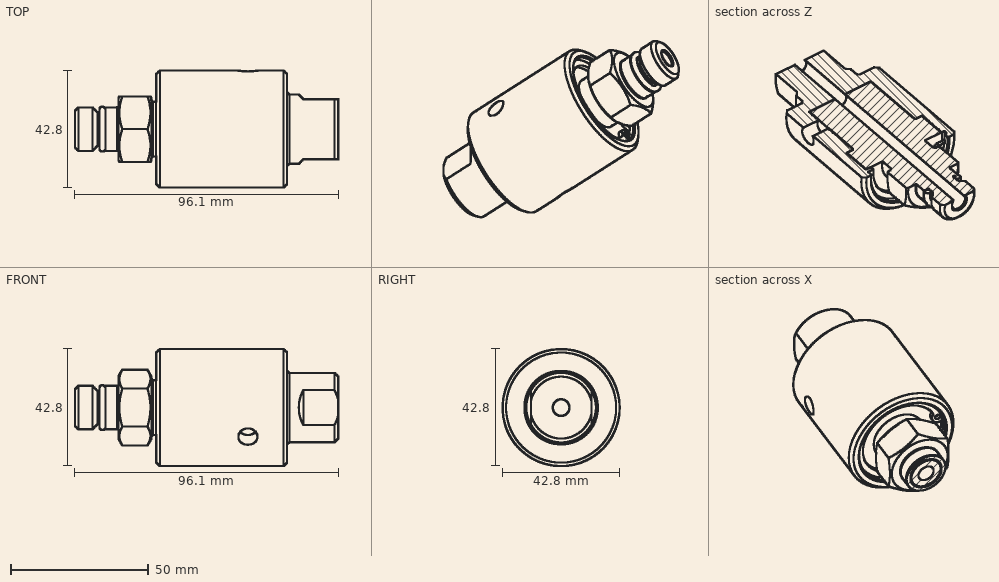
import cadquery as cq
import math

overall_length = 96.12

stem_d = 15.97
stem_chamfer = 1.25
stem_land_end = 6.4
groove_d = 12.12
groove_cone_end = stem_land_end + (stem_d - groove_d) / 2
seal_section_r = 1.1
seal_bedding = 0.02
groove_end = 11.1
seat_d = 16.02
seat_start = 15.4
hex_start = 15.85
hex_end = 27.9
hex_across_flats = 24.0
hex_corner_d = hex_across_flats / math.cos(math.radians(30))
hex_chamfer_d = 0.95 * hex_across_flats
hex_chamfer_angle = 30.0
neck_d = 20.0
neck_root = 0.6
drum_d = 28.8
drum_end = 72.0
bore_d = 6.0
bore_mouth_d = 6.92

housing_d = 42.8
housing_start = 29.65
housing_end = 77.45
housing_chamfer = 1.3
recess_d = 35.05
recess_chamfer = 0.5
ring_start = housing_start + 2.2
ring_thickness = 1.5
recess_end = ring_start + ring_thickness
collar_length = 12.0
collar_end = recess_end + collar_length
ring_seat_d = 37.19
ring_inner_d = 30.3
ear_y = -15.9
ear_z = 4.9
ear_r = 2.85
ear_hole_y = -15.4
ear_hole_z = 4.6
ear_hole_d = 1.98
end_d = 25.4
end_root = 0.75
end_chamfer = 1.4
flat_across = 22.0
flat_start = 83.35
weep_hole_d = 6.92
weep_hole_x = 63.1
weep_hole_angles = (0, 210)


def disk(diameter, start, end):
    """Solid cylinder on the X axis."""
    return cq.Workplane("YZ", origin=(start, 0, 0)).circle(diameter / 2).extrude(end - start)


def turned(points):
    """Solid of revolution about X from a closed (x, radius) outline."""
    return cq.Workplane("XY").polyline(points).close().revolve(360, (0, 0, 0), (1, 0, 0))


def make_stem():
    stem_r = stem_d / 2
    seat_r = seat_d / 2
    groove_r = groove_d / 2
    body = turned([
        (0, 0),
        (0, stem_r - stem_chamfer),
        (stem_chamfer, stem_r),
        (stem_land_end, stem_r),
        (groove_cone_end, groove_r),
        (groove_end, groove_r),
        (groove_end, stem_r),
        (seat_start, stem_r),
        (seat_start, seat_r),
        (hex_start, seat_r),
        (hex_start, 0),
    ])
    seal_x = groove_end - seal_section_r + seal_bedding
    seal_centre_r = groove_r + seal_section_r - seal_bedding
    seal = (
        cq.Workplane("XY")
        .center(seal_x, seal_centre_r)
        .circle(seal_section_r)
        .revolve(360, (0, -seal_centre_r, 0), (1, -seal_centre_r, 0))
    )
    return body.union(seal)


def make_hexagon():
    prism = (
        cq.Workplane("YZ", origin=(hex_start, 0, 0))
        .polygon(6, hex_corner_d)
        .extrude(hex_end - hex_start)
        .rotate((0, 0, 0), (1, 0, 0), 30)
    )
    chamfer_drop = (hex_corner_d - hex_chamfer_d) / 2
    chamfer_run = chamfer_drop * math.tan(math.radians(hex_chamfer_angle))
    envelope = turned([
        (hex_start, 0),
        (hex_start, hex_chamfer_d / 2),
        (hex_start + chamfer_run, hex_corner_d / 2),
        (hex_end - chamfer_run, hex_corner_d / 2),
        (hex_end, hex_chamfer_d / 2),
        (hex_end, 0),
    ])
    return prism.intersect(envelope)


def make_drum():
    """Neck behind the hexagon, then the collar under the retaining ring and the drum."""
    neck_r = neck_d / 2
    return turned([
        (hex_end, 0),
        (hex_end, neck_r + neck_root),
        (hex_end + neck_root, neck_r),
        (recess_end, neck_r),
        (recess_end, recess_d / 2),
        (collar_end, recess_d / 2),
        (collar_end, drum_d / 2),
        (drum_end, drum_d / 2),
        (drum_end, 0),
    ])


def make_rotor():
    mouth_depth = (bore_mouth_d - bore_d) / 2
    bore = turned([
        (0, 0),
        (0, bore_mouth_d / 2),
        (mouth_depth, bore_d / 2),
        (drum_end, bore_d / 2),
        (drum_end, 0),
    ])
    return make_stem().union(make_hexagon()).union(make_drum()).cut(bore)


def make_sleeve():
    """Outer sleeve and end connection, bored to fit the rotor."""
    end_r = end_d / 2
    outside = turned([
        (housing_start, 0),
        (housing_start, housing_d / 2 - housing_chamfer),
        (housing_start + housing_chamfer, housing_d / 2),
        (housing_end - housing_chamfer, housing_d / 2),
        (housing_end, housing_d / 2 - housing_chamfer),
        (housing_end, end_r + end_root),
        (housing_end + end_root, end_r),
        (overall_length - end_chamfer, end_r),
        (overall_length, end_r - end_chamfer),
        (overall_length, 0),
    ])
    inside = turned([
        (housing_start, 0),
        (housing_start, recess_d / 2 + recess_chamfer),
        (housing_start + recess_chamfer, recess_d / 2),
        (ring_start, recess_d / 2),
        (ring_start, ring_seat_d / 2),
        (recess_end, ring_seat_d / 2),
        (recess_end, recess_d / 2),
        (collar_end, recess_d / 2),
        (collar_end, drum_d / 2),
        (drum_end, drum_d / 2),
        (drum_end, bore_d / 2),
        (overall_length, bore_d / 2),
        (overall_length, 0),
    ])
    return outside.cut(inside)


def make_retaining_ring():
    """Open ring with two eared ends, facing -Y."""
    gap_width = 2 * (ear_z - ear_r)
    ring = disk(ring_seat_d, ring_start, recess_end).cut(disk(ring_inner_d, ring_start, recess_end))
    ears = (
        cq.Workplane("YZ", origin=(ring_start, 0, 0))
        .pushPoints([(ear_y, ear_z), (ear_y, -ear_z)])
        .circle(ear_r)
        .extrude(ring_thickness)
        .intersect(disk(ring_seat_d, ring_start, recess_end))
    )
    opening = (
        cq.Workplane("YZ", origin=(ring_start, 0, 0))
        .center(-ring_seat_d / 2, 0)
        .rect(ring_seat_d, gap_width)
        .extrude(ring_thickness)
    )
    ear_holes = (
        cq.Workplane("YZ", origin=(ring_start, 0, 0))
        .pushPoints([(ear_hole_y, ear_hole_z), (ear_hole_y, -ear_hole_z)])
        .circle(ear_hole_d / 2)
        .extrude(ring_thickness)
    )
    return ring.cut(opening).union(ears).cut(ear_holes)


def make_flat_cutter(side):
    """Wrench flat on one Y side, with a 45 degree run-out towards the sleeve."""
    flat_y = side * flat_across / 2
    flat_depth = (end_d - flat_across) / 2
    return (
        cq.Workplane("XY")
        .polyline([
            (flat_start, flat_y),
            (flat_start - flat_depth, side * end_d / 2),
            (overall_length, side * end_d / 2),
            (overall_length, flat_y),
        ])
        .close()
        .extrude(end_d / 2, both=True)
    )


def make_weep_hole(angle):
    """Radial hole from the outside down to the drum bore."""
    hole = (
        cq.Workplane("XZ", origin=(weep_hole_x, 0, 0))
        .circle(weep_hole_d / 2)
        .extrude(-housing_d / 2)
    )
    return hole.rotate((0, 0, 0), (1, 0, 0), angle)


def make_housing():
    housing = make_sleeve().union(make_retaining_ring())
    for side in (1, -1):
        housing = housing.cut(make_flat_cutter(side))
    drum_space = disk(drum_d, housing_start, drum_end)
    for angle in weep_hole_angles:
        housing = housing.cut(make_weep_hole(angle).cut(drum_space))
    return housing


rotor = make_rotor()
housing = make_housing()
result = cq.Compound.makeCompound([rotor.val(), housing.val()])